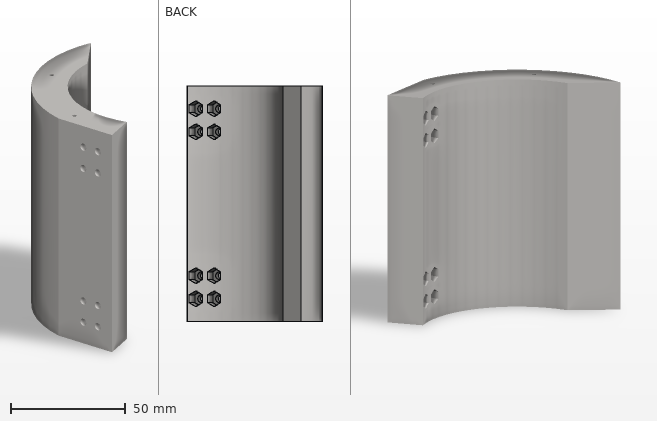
import cadquery as cq
import math

height = 102.8
outer_radius = 59.0
inner_radius = 43.1
tip_angle = 147.5
inner_corner_angle = 166.7

flat_tilt = 15.0
flat_end_y = -59.2

screw_diameter = 3.3
nut_across_flats = 5.9
screw_seat_depth = 5.2
screw_columns_x = (-15.4, -7.6)
screw_edge_offsets = (10.0, 20.0)
cutter_length = 20.6

pin_diameter = 2.0
pin_circle_radius = 51.6
pin_angles = (189.1, 242.6)


def polar(radius, angle):
    """Point at a radius and an angle in degrees about the Z axis."""
    return (radius * math.cos(math.radians(angle)), radius * math.sin(math.radians(angle)))


def flat_y(x):
    """Y of the flat mounting face at a given X."""
    return flat_end_y - x * math.tan(math.radians(flat_tilt))


flat_distance = -flat_end_y * math.cos(math.radians(flat_tilt))
flat_normal_angle = 270.0 - flat_tilt
flat_start_angle = flat_normal_angle - math.degrees(math.acos(flat_distance / outer_radius))


def wall():
    outer_middle = (tip_angle + flat_start_angle) / 2
    inner_middle = (inner_corner_angle + 270.0) / 2
    return (
        cq.Workplane("XY")
        .moveTo(*polar(outer_radius, tip_angle))
        .threePointArc(polar(outer_radius, outer_middle), polar(outer_radius, flat_start_angle))
        .lineTo(0, flat_end_y)
        .lineTo(0, -inner_radius)
        .threePointArc(polar(inner_radius, inner_middle), polar(inner_radius, inner_corner_angle))
        .close()
        .extrude(height)
    )


def screw_cutter(x, z):
    """Through hole and inner nut pocket for one screw."""
    inward = cq.Vector(*polar(1, flat_normal_angle - 180.0), 0)
    entry = cq.Vector(x, flat_y(x), z)
    seat = entry + inward * screw_seat_depth
    hole = cq.Solid.makeCylinder(screw_diameter / 2, cutter_length, entry - inward, inward)
    seat_plane = cq.Plane(origin=seat, xDir=inward.cross(cq.Vector(0, 0, 1)), normal=inward)
    nut_pocket = (
        cq.Workplane(seat_plane)
        .polygon(6, nut_across_flats, circumscribed=True)
        .extrude(cutter_length)
    )
    return nut_pocket.union(cq.Workplane(obj=hole))


result = wall()

for column_x in screw_columns_x:
    for offset in screw_edge_offsets:
        for screw_z in (offset, height - offset):
            result = result.cut(screw_cutter(column_x, screw_z))

pin_points = [polar(pin_circle_radius, angle) for angle in pin_angles]
pins = cq.Workplane("XY").pushPoints(pin_points).circle(pin_diameter / 2).extrude(height)
result = result.cut(pins)